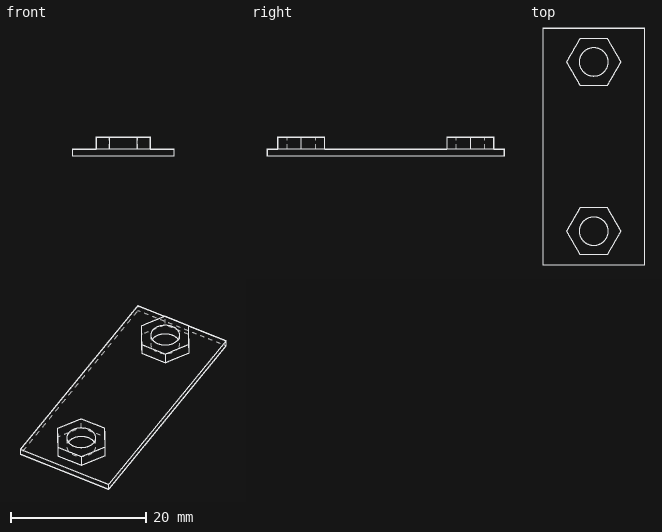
import cadquery as cq

plate_width = 15.0
plate_length = 35.0
plate_thickness = 1.0

overall_height = 2.8
nut_height = overall_height - plate_thickness
nut_corner_diameter = 8.0
nut_bore_diameter = 4.25
nut_spacing = 25.0
nut_centers = [(0, -nut_spacing / 2), (0, nut_spacing / 2)]


def make_plate():
    return cq.Workplane("XY").box(
        plate_width, plate_length, plate_thickness, centered=(True, True, False)
    )


def make_nuts():
    """Both nuts, bored through down to the top face of the plate."""
    base = cq.Workplane("XY").workplane(offset=plate_thickness).pushPoints(nut_centers)
    hexagons = base.polygon(6, nut_corner_diameter).extrude(nut_height)
    bores = base.circle(nut_bore_diameter / 2).extrude(nut_height)
    return hexagons.cut(bores)


result = make_plate().union(make_nuts())